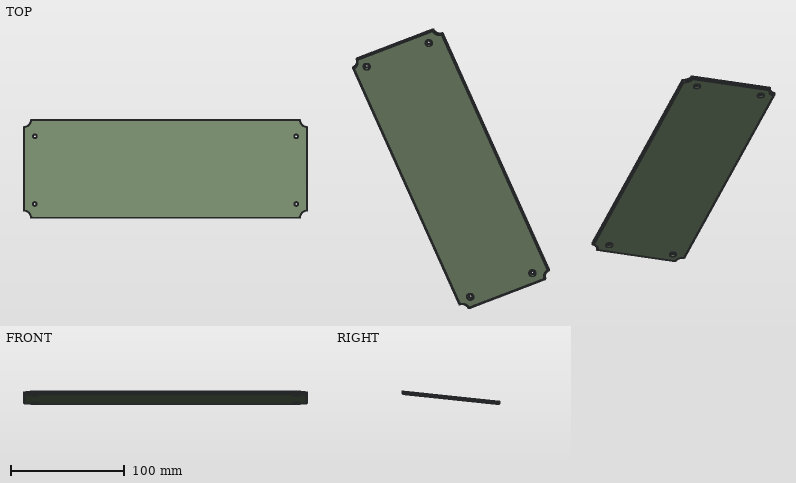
import cadquery as cq

length = 249.4
width = 86.5
thickness = 2.5
tilt_angle = 6.0
notch_radius = 6.2
notch_tip_radius = 0.5
bottom_chamfer = 1.0

hole_diameter = 3.2
sink_diameter = 6.0
sink_angle = 90.0
hole_spacing_x = 230.0
hole_spacing_y = 59.8
hole_shift_y = -1.2


def make_plate():
    """Flat plate with concave corners, a chamfered underside and rounded notch tips."""
    notches = (
        cq.Workplane("XY")
        .rect(length, width, forConstruction=True)
        .vertices()
        .circle(notch_radius)
        .extrude(thickness, both=True)
    )
    notched = cq.Workplane("XY").box(length, width, thickness).cut(notches)
    chamfered = notched.faces("<Z").chamfer(bottom_chamfer)
    rounded = notched.edges("|Z").fillet(notch_tip_radius)
    return chamfered.intersect(rounded)


def add_holes(plate):
    """Four through holes with countersinks opening on the underside."""
    return (
        plate.faces("<Z")
        .workplane(origin=(0, hole_shift_y, 0))
        .rect(hole_spacing_x, hole_spacing_y, forConstruction=True)
        .vertices()
        .cskHole(hole_diameter, sink_diameter, sink_angle)
    )


flat_plate = add_holes(make_plate())
result = flat_plate.rotate((0, 0, 0), (1, 0, 0), -tilt_angle)